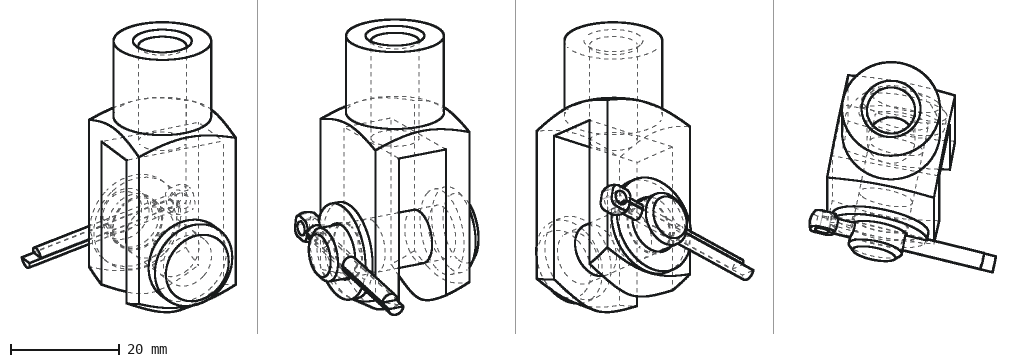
import cadquery as cq
import math


fork_width = 20.0
fork_top = 40.0
fork_bottom = -12.0
shoulder_height = 25.0
shank_radius = 9.0
slot_width = 10.0
slot_top = 20.0
bore_radius = 4.4
bore_chamfer = 1.0
shoulder_angle = 26
tip_angle = 30
envelope_margin = 0.5

pin_radius = 5.0
pin_tip_x = -16.0
pin_tip_chamfer = 1.0
head_radius = 8.0
head_end_x = 14.0
head_chamfer = 1.5

washer_radius = 9.0
washer_hole_radius = 5.25
washer_thickness = 1.5

cotter_x = -12.5
cotter_diameter = 3.1
cotter_tilt = 10.5
cotter_slit = 0.1
upper_leg_end = 19.75
lower_leg_end = 22.2
eye_distance = 10.3
eye_hole_radius = 1.3
eye_size = 5.0
eye_corner_radius = 1.65
eye_crown = 0.35

half_width = fork_width / 2


def x_cylinder(radius, start, end):
    """Cylinder about the pin axis between two X positions."""
    return cq.Workplane("YZ").workplane(offset=start).circle(radius).extrude(end - start)


def turned_envelope():
    """Body of revolution that bevels the square block at the shoulder and tips."""
    corner_radius = half_width * math.sqrt(2) + envelope_margin
    tip_radius = slot_width / 2
    shoulder_drop = (corner_radius - shank_radius) * math.tan(math.radians(shoulder_angle))
    tip_rise = (corner_radius - tip_radius) * math.tan(math.radians(tip_angle))
    profile = [
        (0, fork_bottom),
        (tip_radius, fork_bottom),
        (corner_radius, fork_bottom + tip_rise),
        (corner_radius, shoulder_height - shoulder_drop),
        (shank_radius, shoulder_height),
        (shank_radius, fork_top),
        (0, fork_top),
    ]
    return cq.Workplane("XZ").polyline(profile).close().revolve(360, (0, 0), (0, 1))


def make_fork():
    block = (
        cq.Workplane("XY").workplane(offset=fork_bottom)
        .rect(fork_width, fork_width).extrude(fork_top - fork_bottom)
    )
    slot = (
        cq.Workplane("XY").workplane(offset=fork_bottom)
        .rect(slot_width, fork_width).extrude(slot_top - fork_bottom)
    )
    fork = block.intersect(turned_envelope()).cut(slot)
    fork = fork.cut(x_cylinder(pin_radius, -half_width, half_width))
    return (
        fork.faces(">Z").workplane(origin=(0, 0, fork_top))
        .circle(bore_radius).cutBlind(slot_top - fork_top)
        .faces(">Z").edges("%CIRCLE").edges(cq.selectors.RadiusNthSelector(0))
        .chamfer(bore_chamfer)
    )


def make_pin():
    shaft = x_cylinder(pin_radius, pin_tip_x, half_width).faces("<X").chamfer(pin_tip_chamfer)
    head = x_cylinder(head_radius, half_width, head_end_x).faces(">X").chamfer(head_chamfer)
    return shaft.union(head)


def make_washer():
    washer = x_cylinder(washer_radius, -half_width - washer_thickness, -half_width)
    return washer.cut(x_cylinder(washer_hole_radius, -half_width - washer_thickness, -half_width))


def place_cotter(body):
    """Move a shape from its own frame (wire along -Y) to the tilted place in the pin."""
    return body.rotate((0, 0, 0), (1, 0, 0), cotter_tilt).translate((cotter_x, 0, 0))


def make_wire():
    """Round wire from the eye centre to the end of the longer leg."""
    return (
        cq.Workplane("XZ").workplane(offset=-eye_distance)
        .circle(cotter_diameter / 2).extrude(eye_distance + lower_leg_end)
    )


def make_eye():
    """Rounded square plate with a crowned rim."""
    flat_size = eye_size - 2 * eye_crown
    flat_corner = eye_corner_radius - eye_crown
    half_thickness = cotter_diameter / 2
    plate = (
        cq.Workplane("YZ").rect(flat_size, flat_size)
        .extrude(half_thickness, both=True).edges("|X").fillet(flat_corner)
    )
    rim_path = plate.faces(">X").wires().val().translate(cq.Vector(-half_thickness, 0, 0))
    half_flat = flat_size / 2
    crown = (
        cq.Workplane("XZ")
        .moveTo(-half_thickness, half_flat)
        .threePointArc((0, half_flat + eye_crown), (half_thickness, half_flat))
        .close()
        .sweep(cq.Workplane(obj=rim_path))
    )
    return plate.union(crown).translate((0, eye_distance, 0))


def make_cotter():
    eye_hole = x_cylinder(eye_hole_radius, -cotter_diameter, cotter_diameter).translate((0, eye_distance, 0))
    slit_length = eye_distance + lower_leg_end
    slit = (
        cq.Workplane("XY").box(2 * cotter_diameter, slit_length, cotter_slit)
        .translate((0, eye_distance - slit_length / 2, 0))
    )
    leg_trim = (
        cq.Workplane("XY")
        .box(2 * cotter_diameter, lower_leg_end - upper_leg_end, cotter_diameter, centered=(True, False, False))
        .translate((0, -lower_leg_end, 0))
    )
    return place_cotter(make_wire().union(make_eye()).cut(eye_hole).cut(slit).cut(leg_trim))


fork = make_fork()
cotter = make_cotter()
cotter_hole = place_cotter(make_wire())
pin = make_pin().cut(cotter_hole)
washer = make_washer().cut(cotter_hole).cut(place_cotter(make_eye()))

result = cq.Compound.makeCompound([
    fork.solids().val(),
    pin.solids().val(),
    washer.solids().val(),
    cotter.solids().val(),
])